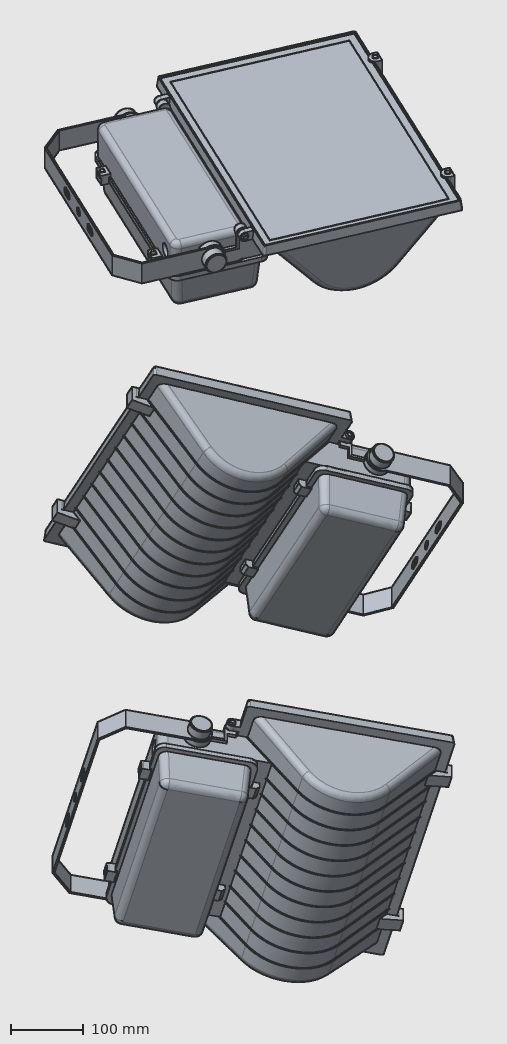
import cadquery as cq
import math


FRAME_WIDTH = 416.0
FRAME_LENGTH = 295.0
FRAME_DEPTH = 16.0
FRAME_MID_Y = FRAME_LENGTH / 2
FRAME_LEAN = 1.75
LIP_WIDTH = 2.0
LIP_HEIGHT = 3.0
FRAME_CORNER = 3.5
WINDOW_BORDER = 15.5
WINDOW_RECESS = 1.0

TROUGH_BOTTOM = -134.5
TROUGH_HALF_MOUTH = 133.0
TROUGH_SLOPE = 0.8
TROUGH_HALF_WIDTH_TOP = 193.0
TROUGH_HALF_WIDTH_BOTTOM = 183.5
TROUGH_FILLET = 10.0
FIN_COUNT = 11
FIN_SPAN = 301.0
FIN_HEIGHT = 1.5
FIN_THICKNESS = 0.75

BOX_HALF_WIDTH = 150.5
BOX_FRONT = -1.5
BOX_BACK = -111.5
BOX_TOP = -7.0
BOX_EDGE_FILLET = 9.5
BOX_CORNER_FILLET = 12.5
NECK_BOTTOM = -59.5
NECK_SINK = 7.0
FLANGE_HALF_WIDTH = 154.0
FLANGE_FRONT = 30.5
FLANGE_BACK = -114.5
FLANGE_TOP = -61.0
FLANGE_BOTTOM = -68.5
FLANGE_CORNER = 13.0
COVER_HALF_WIDTH = 147.0
COVER_FRONT = 22.5
COVER_BACK = -108.5
COVER_BOTTOM = -125.5
COVER_DRAFT_X = 7.0
COVER_DRAFT_Y = 3.5
COVER_FILLET = 11.5
CABLE_HOLE_X = 121.0
CABLE_HOLE_Z = -37.0
CABLE_HOLE_DIAMETER = 20.0
CABLE_HOLE_DEPTH = 15.0

CLIP_X = 100.0
CLIP_WIDTH = 19.5
CLIP_REACH = 12.0
CLIP_STEP = 1.0
FRONT_CLIP_REACH = 11.0
FRONT_CLIP_CHAMFER = 4.5
CLIP_TOP = -55.5
CLIP_BOTTOM = -71.5
CLIP_EDGE = 3.0
CLIP_PAD_SIZE = 6.5
CLIP_PAD_HEIGHT = 1.5

LATCH_X = 140.5
LATCH_WIDTH = 20.0
LATCH_END = 304.5
LATCH_SCREW_Y = 298.0
LATCH_BOTTOM = -23.0
LATCH_ROOT_Y = 269.0
LATCH_ROOT_BOTTOM = -28.5
LATCH_SCREW_RADIUS = 4.0
LATCH_SCREW_TOP = 1.5

HINGE_Y = -11.0
HINGE_Z = -9.0
FRAME_LUG_RADIUS = 7.5
FRAME_LUG_INNER = 157.5
FRAME_LUG_OUTER = 166.5
BOX_LUG_RADIUS = 8.5
BOX_LUG_INNER = 145.5
BOX_LUG_OUTER = 155.5
BOX_LUG_BOTTOM = -21.0
HINGE_PIN_RADIUS = 5.0
HINGE_PIN_END = 168.5
HINGE_PIN_CHAMFER = 2.0

PIVOT_Y = -58.0
PIVOT_Z = -34.5
BOSS_RADIUS = 19.0
BOSS_SINK = 5.0
KNOB_RADIUS = 16.0
KNOB_END = 178.5
KNOB_CHAMFER = 1.5
PIVOT_PIN_RADIUS = 7.5

RIB_FACE = BOX_LUG_OUTER
RIB_WIDTH = 3.5
RIB_UPRIGHT_Y = -15.5
RIB_END_Y = -80.5

OVERALL_LENGTH = 498.0
BRACKET_HALF_WIDTH = 163.0
BRACKET_THICKNESS = 2.75
BRACKET_HEIGHT = 34.5
BRACKET_BACK = LATCH_END - OVERALL_LENGTH
BRACKET_BEND = 32.0
BRACKET_HOLE_DIAMETER = 12.5
BRACKET_SLOT_LENGTH = 21.0
BRACKET_SLOT_X = 44.5

SIDES = (-1, 1)
BRACKET_INNER = BRACKET_HALF_WIDTH - BRACKET_THICKNESS


def block(x_range, y_range, z_range):
    """Box between two limits along each axis."""
    sizes = [max(r) - min(r) for r in (x_range, y_range, z_range)]
    corner = tuple(min(r) for r in (x_range, y_range, z_range))
    return cq.Workplane("XY").box(*sizes, centered=False).translate(corner)


def x_cylinder(radius, x_start, x_end, y, z):
    """Cylinder along X between two X positions."""
    disc = cq.Workplane("YZ", origin=(min(x_start, x_end), y, z)).circle(radius)
    return disc.extrude(abs(x_end - x_start))


def outer_face(side):
    """Selector of the face that looks away from the symmetry plane."""
    return ">X" if side > 0 else "<X"


def frame_recess(inset, floor):
    """Rectangular cutter with its sides inset from the frame edges and its floor at the given Z."""
    return block(
        (inset - FRAME_WIDTH / 2, FRAME_WIDTH / 2 - inset),
        (inset, FRAME_LENGTH - inset),
        (floor, LIP_HEIGHT),
    )


def make_frame():
    """Frame with leaning walls, a thin raised lip and a shallow recess for the window."""
    plate = (
        cq.Workplane("XY", origin=(0, FRAME_MID_Y, -FRAME_DEPTH))
        .rect(FRAME_WIDTH, FRAME_LENGTH)
        .workplane(offset=FRAME_DEPTH)
        .rect(FRAME_WIDTH - 2 * FRAME_LEAN, FRAME_LENGTH - 2 * FRAME_LEAN)
        .loft(ruled=True)
        .edges("not #Z")
        .fillet(FRAME_CORNER)
    )
    border = frame_recess(FRAME_LEAN + LIP_WIDTH, -LIP_HEIGHT)
    window = frame_recess(WINDOW_BORDER, -LIP_HEIGHT - WINDOW_RECESS)
    return plate.cut(border).cut(window)


def trough_section(growth, x_middle, half_thickness):
    """Slice of the trough's Y-Z outline, grown outward by the given amount."""
    flank_normal = math.hypot(1, TROUGH_SLOPE)
    half_mouth = TROUGH_HALF_MOUTH + growth * flank_normal
    bottom = TROUGH_BOTTOM - growth
    flank_reach = half_mouth + TROUGH_SLOPE * FRAME_DEPTH
    radius = (flank_reach + TROUGH_SLOPE * bottom) / (flank_normal - TROUGH_SLOPE)
    tangent_y = radius / flank_normal
    tangent_z = bottom + radius - radius * TROUGH_SLOPE / flank_normal
    return (
        cq.Workplane("YZ", origin=(x_middle, FRAME_MID_Y, 0))
        .moveTo(-half_mouth, -FRAME_DEPTH)
        .lineTo(-tangent_y, tangent_z)
        .threePointArc((0, bottom), (tangent_y, tangent_z))
        .lineTo(half_mouth, -FRAME_DEPTH)
        .close()
        .extrude(half_thickness, both=True)
    )


def make_trough():
    """Reflector trough with leaning end walls and rounded end edges."""
    end_walls = (
        cq.Workplane("XZ", origin=(0, FRAME_LENGTH, 0))
        .polyline([
            (-TROUGH_HALF_WIDTH_TOP, -FRAME_DEPTH),
            (TROUGH_HALF_WIDTH_TOP, -FRAME_DEPTH),
            (TROUGH_HALF_WIDTH_BOTTOM, TROUGH_BOTTOM),
            (-TROUGH_HALF_WIDTH_BOTTOM, TROUGH_BOTTOM),
        ])
        .close()
        .extrude(FRAME_LENGTH)
    )
    trough = trough_section(0, 0, FRAME_WIDTH / 2).intersect(end_walls)
    for end in ("<X", ">X"):
        trough = trough.faces(end).edges("not #Z").fillet(TROUGH_FILLET)
    return trough


def make_fins():
    """Thin cooling fins that follow the outline of the trough."""
    pitch = FIN_SPAN / (FIN_COUNT - 1)
    fins = cq.Workplane("XY")
    for index in range(FIN_COUNT):
        x = index * pitch - FIN_SPAN / 2
        fins = fins.add(trough_section(FIN_HEIGHT, x, FIN_THICKNESS / 2))
    return fins.combine()


def make_upper_housing():
    """Upper ballast housing with rounded edges, a neck to the trough and a blind cable hole."""
    housing = (
        block((-BOX_HALF_WIDTH, BOX_HALF_WIDTH), (BOX_BACK, BOX_FRONT), (FLANGE_TOP, BOX_TOP))
        .edges("|Z")
        .fillet(BOX_CORNER_FILLET)
        .faces(">Z")
        .edges()
        .fillet(BOX_EDGE_FILLET)
    )
    mouth_y = FRAME_MID_Y - TROUGH_HALF_MOUTH
    neck_start = BOX_FRONT - BOX_CORNER_FILLET
    neck_run = TROUGH_SLOPE * (-FRAME_DEPTH - NECK_BOTTOM)
    neck = (
        cq.Workplane("YZ")
        .polyline([
            (neck_start, -FRAME_DEPTH),
            (mouth_y + NECK_SINK, -FRAME_DEPTH),
            (mouth_y + NECK_SINK + neck_run, NECK_BOTTOM),
            (neck_start, NECK_BOTTOM),
        ])
        .close()
        .extrude(BOX_HALF_WIDTH, both=True)
    )
    cable_hole = (
        cq.Workplane("XZ", origin=(CABLE_HOLE_X, BOX_BACK, CABLE_HOLE_Z))
        .circle(CABLE_HOLE_DIAMETER / 2)
        .extrude(-CABLE_HOLE_DEPTH)
    )
    return housing.union(neck).cut(cable_hole)


def make_flange():
    """Flange between the upper housing and the cover."""
    flange = block(
        (-FLANGE_HALF_WIDTH, FLANGE_HALF_WIDTH),
        (FLANGE_BACK, FLANGE_FRONT),
        (FLANGE_BOTTOM, FLANGE_TOP),
    )
    return flange.edges("|Z").fillet(FLANGE_CORNER)


def make_cover():
    """Drafted lower cover with rounded corners and bottom."""
    length = COVER_FRONT - COVER_BACK
    return (
        cq.Workplane("XY", origin=(0, (COVER_FRONT + COVER_BACK) / 2, FLANGE_BOTTOM))
        .rect(2 * COVER_HALF_WIDTH, length)
        .workplane(offset=COVER_BOTTOM - FLANGE_BOTTOM)
        .rect(2 * (COVER_HALF_WIDTH - COVER_DRAFT_X), length - 2 * COVER_DRAFT_Y)
        .loft(ruled=True)
        .edges("not #Z")
        .fillet(COVER_FILLET)
        .faces("<Z")
        .edges()
        .fillet(COVER_FILLET)
    )


def make_back_clip(x):
    """Clip on the back of the flange, its lower half set back, with a small square pad on top."""
    y_end = FLANGE_BACK - CLIP_REACH
    x_range = (x - CLIP_WIDTH / 2, x + CLIP_WIDTH / 2)
    clip = block(x_range, (y_end, BOX_BACK), (CLIP_BOTTOM, CLIP_TOP))
    clip = clip.edges("|Z and <Y").fillet(CLIP_EDGE)
    step = block(x_range, (y_end, y_end + CLIP_STEP), (CLIP_BOTTOM, FLANGE_TOP))
    pad = (
        cq.Workplane("XY", origin=(x, FLANGE_BACK - CLIP_REACH / 2, CLIP_TOP))
        .rect(CLIP_PAD_SIZE, CLIP_PAD_SIZE)
        .extrude(CLIP_PAD_HEIGHT)
    )
    return clip.cut(step).union(pad)


def make_front_clip(x):
    """Clip below the neck, on the trough side of the flange."""
    x_range = (x - CLIP_WIDTH / 2, x + CLIP_WIDTH / 2)
    y_range = (COVER_FRONT, FLANGE_FRONT + FRONT_CLIP_REACH)
    clip = block(x_range, y_range, (CLIP_BOTTOM, NECK_BOTTOM))
    return clip.faces("<Z").edges(">Y").chamfer(FRONT_CLIP_CHAMFER)


def make_latch(x):
    """Latch block with a round nose on the frame, a root under the frame and a screw."""
    half = LATCH_WIDTH / 2
    body = (
        cq.Workplane("XY", origin=(x, LATCH_SCREW_Y, LATCH_BOTTOM))
        .moveTo(-half, LATCH_END - LATCH_SCREW_Y)
        .lineTo(-half, 0)
        .threePointArc((0, -half), (half, 0))
        .lineTo(half, LATCH_END - LATCH_SCREW_Y)
        .close()
        .extrude(-LATCH_BOTTOM)
    )
    root = (
        cq.Workplane("YZ", origin=(x, 0, 0))
        .polyline([
            (LATCH_END, -FRAME_DEPTH),
            (LATCH_ROOT_Y, -FRAME_DEPTH),
            (LATCH_ROOT_Y, LATCH_ROOT_BOTTOM),
            (LATCH_END, LATCH_BOTTOM),
        ])
        .close()
        .extrude(half, both=True)
    )
    screw = (
        cq.Workplane("XY", origin=(x, LATCH_SCREW_Y, 0))
        .circle(LATCH_SCREW_RADIUS)
        .extrude(LATCH_SCREW_TOP)
    )
    return body.union(root).union(screw)


def make_hinge(side):
    """Frame lug, box lug and hinge pin on one side."""
    frame_span = (side * FRAME_LUG_INNER, side * FRAME_LUG_OUTER)
    box_span = (side * BOX_LUG_INNER, side * BOX_LUG_OUTER)
    arm_end = FRAME_LEAN + LIP_WIDTH / 2
    frame_arm = block(frame_span, (HINGE_Y, arm_end), (-FRAME_DEPTH, HINGE_Z + FRAME_LUG_RADIUS))
    frame_eye = x_cylinder(FRAME_LUG_RADIUS, *frame_span, HINGE_Y, HINGE_Z)
    box_eye = x_cylinder(BOX_LUG_RADIUS, *box_span, HINGE_Y, HINGE_Z)
    box_foot = block(box_span, (RIB_UPRIGHT_Y, HINGE_Y + BOX_LUG_RADIUS), (BOX_LUG_BOTTOM, HINGE_Z))
    pin = x_cylinder(HINGE_PIN_RADIUS, side * BOX_LUG_INNER, side * HINGE_PIN_END, HINGE_Y, HINGE_Z)
    pin = pin.faces(outer_face(side)).chamfer(HINGE_PIN_CHAMFER)
    return frame_arm.union(frame_eye).union(box_eye).union(box_foot).union(pin)


def make_side_rib(side):
    """L-shaped rib that drops from the hinge and runs level past the pivot."""
    x_range = (side * (BOX_HALF_WIDTH - RIB_WIDTH), side * RIB_FACE)
    level_bottom = PIVOT_Z - RIB_WIDTH / 2
    upright_back = RIB_UPRIGHT_Y - RIB_WIDTH
    upright = block(x_range, (upright_back, RIB_UPRIGHT_Y), (level_bottom, HINGE_Z))
    level = block(x_range, (RIB_END_Y, RIB_UPRIGHT_Y), (level_bottom, level_bottom + RIB_WIDTH))
    return upright.union(level)


def make_pivot(side):
    """Boss inside the bracket, pin through it and knob outside it."""
    boss_start = side * (BOX_HALF_WIDTH - BOSS_SINK)
    boss = x_cylinder(BOSS_RADIUS, boss_start, side * BRACKET_INNER, PIVOT_Y, PIVOT_Z)
    pin = x_cylinder(PIVOT_PIN_RADIUS, side * BOX_HALF_WIDTH, side * KNOB_END, PIVOT_Y, PIVOT_Z)
    knob = x_cylinder(KNOB_RADIUS, side * BRACKET_HALF_WIDTH, side * KNOB_END, PIVOT_Y, PIVOT_Z)
    knob = knob.faces(outer_face(side)).chamfer(KNOB_CHAMFER)
    return boss.union(pin).union(knob)


def make_fixture():
    """Everything that tilts in the bracket, as one solid."""
    fixture = make_frame().union(make_trough()).union(make_fins())
    fixture = fixture.union(make_upper_housing()).union(make_flange()).union(make_cover())
    for side in SIDES:
        fixture = fixture.union(make_back_clip(side * CLIP_X))
        fixture = fixture.union(make_front_clip(side * CLIP_X))
        fixture = fixture.union(make_latch(side * LATCH_X))
        fixture = fixture.union(make_hinge(side))
        fixture = fixture.union(make_side_rib(side))
        fixture = fixture.union(make_pivot(side))
    return fixture


def make_bracket():
    """Bent strip with round pivot ends, two slots and a centre hole."""
    half_back = BRACKET_HALF_WIDTH - BRACKET_BEND
    bend_y = BRACKET_BACK + BRACKET_BEND
    bend_shift = BRACKET_THICKNESS * math.tan(math.pi / 8)
    inner_back = BRACKET_BACK + BRACKET_THICKNESS
    right_half = [
        (half_back, BRACKET_BACK),
        (BRACKET_HALF_WIDTH, bend_y),
        (BRACKET_HALF_WIDTH, PIVOT_Y),
        (BRACKET_INNER, PIVOT_Y),
        (BRACKET_INNER, bend_y + bend_shift),
        (half_back - bend_shift, inner_back),
    ]
    left_half = [(-x, y) for x, y in reversed(right_half)]
    bracket = (
        cq.Workplane("XY", origin=(0, 0, PIVOT_Z - BRACKET_HEIGHT / 2))
        .polyline(right_half + left_half)
        .close()
        .extrude(BRACKET_HEIGHT)
    )
    for side in SIDES:
        leg_faces = (side * BRACKET_INNER, side * BRACKET_HALF_WIDTH)
        bracket = bracket.union(x_cylinder(BOSS_RADIUS, *leg_faces, PIVOT_Y, PIVOT_Z))
        bracket = bracket.cut(x_cylinder(PIVOT_PIN_RADIUS, *leg_faces, PIVOT_Y, PIVOT_Z))
    back_face = cq.Workplane("XZ", origin=(0, inner_back, PIVOT_Z))
    centre_hole = back_face.circle(BRACKET_HOLE_DIAMETER / 2).extrude(BRACKET_THICKNESS)
    slots = (
        back_face.pushPoints([(side * BRACKET_SLOT_X, 0) for side in SIDES])
        .slot2D(BRACKET_SLOT_LENGTH, BRACKET_HOLE_DIAMETER)
        .extrude(BRACKET_THICKNESS)
    )
    return bracket.cut(centre_hole).cut(slots)


fixture = make_fixture()
bracket = make_bracket()
result = cq.Compound.makeCompound([fixture.val(), bracket.val()])